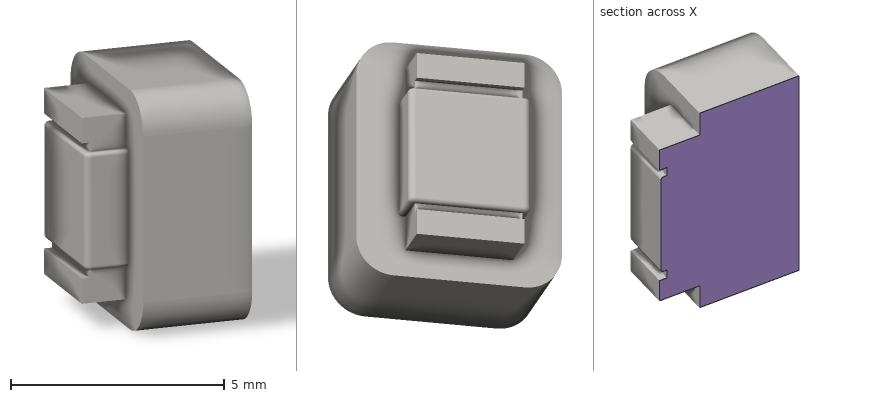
import cadquery as cq

body_width = 4.98
body_height = 5.87
body_depth = 2.725
body_corner_radius = 0.9

strip_width = 2.6
strip_height = 4.555
pad_height = 0.62
pad_reach = 1.1
pad_step = 0.2

core_width = 2.94
core_height = 2.865
core_reach = 1.06
core_side_radius = 0.15
core_end_radius = 0.095


def front_block(width, height, reach):
    """Centred block standing on the front face and reaching toward -Y."""
    return cq.Workplane("XZ").rect(width, height).extrude(reach)


def make_body():
    block = front_block(body_width, body_height, -body_depth)
    return block.edges("|Y").fillet(body_corner_radius)


def make_terminal_strip():
    strip = front_block(strip_width, strip_height, pad_reach - pad_step)
    pad = front_block(strip_width, pad_height, pad_reach)
    pad_offset = (strip_height - pad_height) / 2
    for side in (-1, 1):
        strip = strip.union(pad.translate((0, 0, side * pad_offset)))
    return strip


def make_core():
    block = front_block(core_width, core_height, core_reach)
    block = block.edges("<Y and |Z").fillet(core_side_radius)
    return block.faces("<Z or >Z").edges("not >Y").fillet(core_end_radius)


result = make_body().union(make_terminal_strip()).union(make_core())